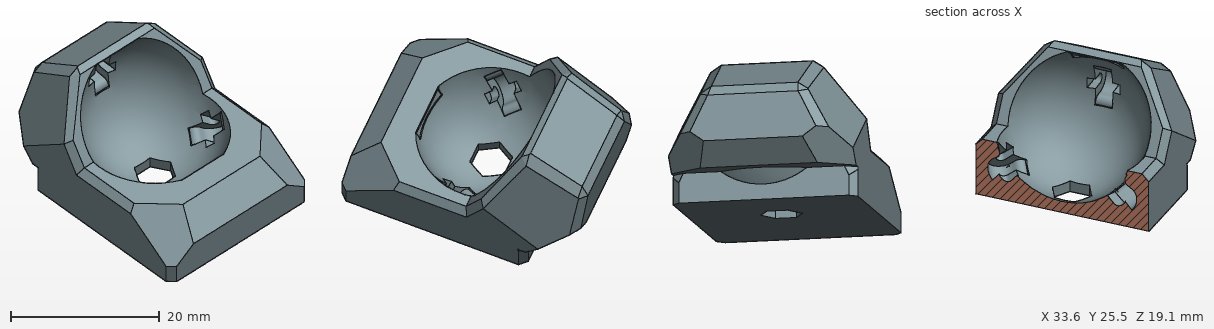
import cadquery as cq
import math

LENGTH = 33.62
WIDTH = 25.52
HALF_WIDTH = WIDTH / 2
HEIGHT = 19.1

BASE_START_X = 6.4
DECK_Z = 8.67
HEAD_BOTTOM_Z = 4.07
SMALL_CHAMFER = 1.0
FRONT_CHAMFER = 3.73
CORNER_REACH = 36.98
BASE_HEAD_JOINT_X = 10.1

HEAD_LOW_Z = 7.05
HEAD_SHOULDER_Z = 13.3
HEAD_LOW_X = 3.43
PEAK_X = 8.37
RIDGE_X = 9.38
RIDGE_Z = 18.52
VALLEY_X = 15.45
TOP_START_X = 0.97
TOP_START_Z = 14.7

BALL_X = LENGTH / 2
BALL_Z = 11.9
CAVITY_RADIUS = 10.65
SHELL_RADIUS = 14.32
HEX_FLATS = 5.0
BALL_TILT = 30.0

LIP_OFFSET = 9.75
LIP_BOTTOM = 1.68
RECESS_WIDTH = 7.53
RECESS_FLOOR = 0.15
RECESS_RADIUS = 10.85

ROLLER_AZIMUTHS = (60.0, -60.0, 180.0)
ROLLER_LATITUDE = 26.5
ROLLER_DISTANCE = 11.97
ROLLER_DIAMETER = 4.2
ROLLER_WIDTH = 2.55
AXLE_DIAMETER = 1.5
AXLE_LENGTH = 4.85
POCKET_EDGE_RADIUS = 1.0
POCKET_EDGE_DISTANCE = 11.35
MOUTH_DISTANCE = 9.4

CLEARANCE = 67.25


def trim(body, inside, p, q, r):
    """Remove everything beyond the plane through p, q, r, keeping the side holding `inside`."""
    origin = cq.Vector(*p)
    along = cq.Vector(*q) - origin
    normal = along.cross(cq.Vector(*r) - origin)
    if normal.dot(cq.Vector(*inside) - origin) > 0:
        normal = normal * -1
    plane = cq.Plane(origin=origin, xDir=along, normal=normal)
    return body.cut(cq.Workplane(plane).rect(CLEARANCE, CLEARANCE).extrude(CLEARANCE))


def trim_both_sides(body, inside, points):
    """Trim with a plane given on the +Y side and with its mirror image."""
    body = trim(body, inside, *points)
    return trim(body, inside, *[(x, -y, z) for x, y, z in points])


def extrude_across(points, width):
    """Prism with an XZ outline, centred on the plane Y = 0."""
    return cq.Workplane("XZ").polyline(points).close().extrude(width / 2, both=True)


def make_base():
    outline = [
        (BASE_START_X, 0),
        (LENGTH, 0),
        (LENGTH, DECK_Z - FRONT_CHAMFER),
        (LENGTH - FRONT_CHAMFER, DECK_Z),
        (BASE_HEAD_JOINT_X, DECK_Z),
        (BASE_START_X, HEAD_BOTTOM_Z),
    ]
    base = extrude_across(outline, WIDTH)
    footprint = (
        cq.Workplane("XY")
        .center((BASE_START_X + LENGTH) / 2, 0)
        .rect(LENGTH - BASE_START_X, WIDTH)
        .extrude(DECK_Z)
        .edges("|Z")
        .chamfer(SMALL_CHAMFER)
    )
    base = base.intersect(footprint)
    inside = (BALL_X, 0, HEAD_BOTTOM_Z)

    edge_y = HALF_WIDTH - SMALL_CHAMFER
    deck_edge = [
        (0, edge_y, DECK_Z),
        (LENGTH, edge_y, DECK_Z),
        (0, HALF_WIDTH, DECK_Z - SMALL_CHAMFER),
    ]
    front_corner = [
        (CORNER_REACH, 0, DECK_Z),
        (0, CORNER_REACH, DECK_Z),
        (CORNER_REACH + math.sqrt(2) * DECK_Z, 0, 0),
    ]
    rear_corner = [
        (BASE_START_X, 11.13, HEAD_BOTTOM_Z),
        (BASE_START_X, HALF_WIDTH - SMALL_CHAMFER, 2.8),
        (BASE_START_X + SMALL_CHAMFER, HALF_WIDTH, 3.7),
    ]
    for points in (deck_edge, front_corner, rear_corner):
        base = trim_both_sides(base, inside, points)
    return base


def make_head():
    outline = [
        (0, HEAD_LOW_Z),
        (0, HEAD_SHOULDER_Z),
        (TOP_START_X, TOP_START_Z),
        (PEAK_X, HEIGHT),
        (RIDGE_X, RIDGE_Z),
        (VALLEY_X, DECK_Z),
        (VALLEY_X, HEAD_BOTTOM_Z),
        (HEAD_LOW_X, HEAD_BOTTOM_Z),
    ]
    head = extrude_across(outline, WIDTH)
    inside = (PEAK_X, 0, DECK_Z)

    crease_low = (4.57, HALF_WIDTH, 6.12)
    crease_high = (12.55, HALF_WIDTH, 11.65)
    side_top = (PEAK_X, 7.85, 18.12)
    rear_low = (TOP_START_X, 10.22, 8.37)
    rear_high = (TOP_START_X, 7.35, 13.82)
    top_low = (TOP_START_X, 6.0, TOP_START_Z)
    top_high = (PEAK_X, 6.45, HEIGHT)
    rear_edge_top = (0, 6.25, HEAD_SHOULDER_Z)
    rear_edge_low = (0, 8.7, 8.4)
    ridge_end = (RIDGE_X, 6.85, RIDGE_Z)
    valley_end = (VALLEY_X, HALF_WIDTH - SMALL_CHAMFER, DECK_Z)

    leaning_side = [crease_low, crease_high, side_top]
    top_edge = [top_low, rear_high, side_top]
    rear_edge = [rear_edge_top, rear_edge_low, rear_low]
    bowl_edge = [ridge_end, side_top, crease_high]
    valley_edge = [valley_end, crease_high, (15.0, HALF_WIDTH, DECK_Z - SMALL_CHAMFER)]
    low_corner = [rear_edge_low, crease_low, (HEAD_LOW_X, 8.1, HEAD_BOTTOM_Z)]
    ridge_corner = [ridge_end, top_high, side_top]
    rear_corner = [rear_edge_top, top_low, rear_high]
    edges = (top_edge, rear_edge, bowl_edge, valley_edge)
    corners = (low_corner, ridge_corner, rear_corner)
    for points in (leaning_side, *edges, *corners):
        head = trim_both_sides(head, inside, points)
    return head


def make_shell_below_head():
    """Part of the round outer shell that shows under the head's overhang."""
    slab = cq.Workplane("XY").center(BALL_X / 2, 0).rect(BALL_X, WIDTH).extrude(HEAD_BOTTOM_Z)
    shell = cq.Workplane("XY").sphere(SHELL_RADIUS).translate((BALL_X, 0, BALL_Z))
    return shell.intersect(slab)


def lean_with_ball(body):
    """Move a body from the ball's own frame, centred on the ball, to its leaning place."""
    return body.rotate((0, 0, 0), (0, 1, 0), BALL_TILT).translate((BALL_X, 0, BALL_Z))


def make_cavity():
    """Ball cavity whose front and rear rims end in straight lips, undercut by shallow recesses."""
    cavity = cq.Workplane("XY").sphere(CAVITY_RADIUS).rotate((0, 0, 0), (0, 1, 0), -BALL_TILT)
    above_lips = cq.Workplane("XY", origin=(0, 0, LIP_BOTTOM)).rect(CLEARANCE, CLEARANCE)
    opening = cq.Workplane("XY", origin=(0, 0, LIP_BOTTOM)).rect(2 * LIP_OFFSET, CLEARANCE)
    cavity = cavity.cut(above_lips.extrude(CLEARANCE).cut(opening.extrude(CLEARANCE)))
    recess = (
        cq.Workplane("XY", origin=(0, 0, RECESS_FLOOR))
        .rect(CLEARANCE, RECESS_WIDTH)
        .extrude(LIP_BOTTOM - RECESS_FLOOR)
        .intersect(cq.Workplane("XY").sphere(RECESS_RADIUS))
    )
    return lean_with_ball(cavity.union(recess))


def make_drain():
    """Hexagonal hole through the floor under the ball."""
    return cq.Workplane("XY").center(BALL_X, 0).polygon(6, HEX_FLATS, circumscribed=True).extrude(BALL_Z)


def make_roller_pocket():
    """Pocket in the YZ plane of the ball's frame, facing +Y, with its axle along X."""
    radius = ROLLER_DIAMETER / 2
    mouth = radius + POCKET_EDGE_RADIUS
    edge_start = POCKET_EDGE_DISTANCE
    edge_end = edge_start - POCKET_EDGE_RADIUS
    edge_bend = POCKET_EDGE_RADIUS * math.sqrt(0.5)
    wheel = (
        cq.Workplane("YZ")
        .moveTo(MOUTH_DISTANCE, -mouth)
        .lineTo(edge_end, -mouth)
        .threePointArc((edge_start - edge_bend, -mouth + edge_bend), (edge_start, -radius))
        .lineTo(ROLLER_DISTANCE, -radius)
        .threePointArc((ROLLER_DISTANCE + radius, 0), (ROLLER_DISTANCE, radius))
        .lineTo(edge_start, radius)
        .threePointArc((edge_start - edge_bend, mouth - edge_bend), (edge_end, mouth))
        .lineTo(MOUTH_DISTANCE, mouth)
        .close()
        .extrude(ROLLER_WIDTH / 2, both=True)
    )
    axle_radius = AXLE_DIAMETER / 2
    axle = (
        cq.Workplane("YZ")
        .moveTo(MOUTH_DISTANCE, -axle_radius)
        .lineTo(ROLLER_DISTANCE, -axle_radius)
        .threePointArc((ROLLER_DISTANCE + axle_radius, 0), (ROLLER_DISTANCE, axle_radius))
        .lineTo(MOUTH_DISTANCE, axle_radius)
        .close()
        .extrude(AXLE_LENGTH / 2, both=True)
    )
    return wheel.union(axle)


def place_roller_pocket(pocket, azimuth):
    """Lower the pocket to its latitude, turn it to its azimuth, then lean it with the ball axis."""
    origin = (0, 0, 0)
    lowered = pocket.rotate(origin, (1, 0, 0), -ROLLER_LATITUDE)
    return lean_with_ball(lowered.rotate(origin, (0, 0, 1), azimuth - 90))


body = make_base().union(make_head()).union(make_shell_below_head())
body = body.cut(make_cavity()).cut(make_drain())
roller_pocket = make_roller_pocket()
for azimuth in ROLLER_AZIMUTHS:
    body = body.cut(place_roller_pocket(roller_pocket, azimuth))

result = body